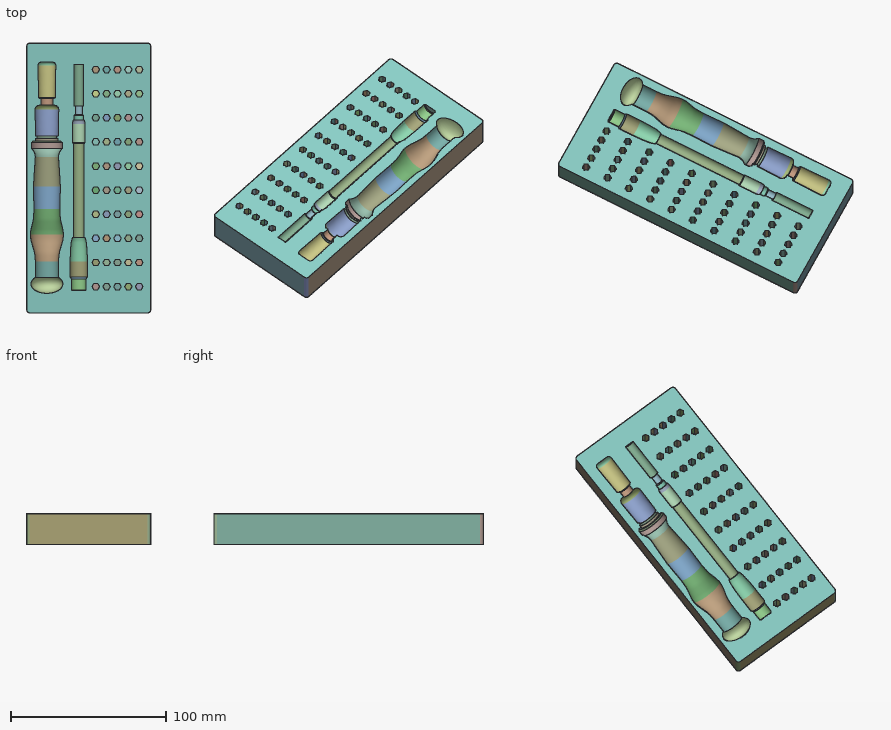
import cadquery as cq
import math

width = 80.0
length = 174.0
height = 20.0
corner_radius = 2.1

hole_flats = 4.2
hole_depth = 14.0
hole_columns = 5
hole_rows = 10
first_column_x = 4.5
last_column_x = 32.5
last_row_y = 70.0

driver_axis_x = -27.0
extension_axis_x = -6.5

tip_radius = 5.7
tip_base_radius = 5.4
neck_radius = 3.8
ferrule_radius = 7.7
ferrule_base_radius = 7.3
collar_radius = 10.0
grip_waist_radius = 7.5
pommel_radius = 10.3

tip_y = 74.8
tip_base_y = 51.3
ferrule_y = 47.0
ferrule_base_y = 27.1
collar_y = 23.8
collar_base_y = 19.1
grip_y = 13.5
grip_base_y = -54.0
pommel_widest_y = -68.2
driver_end_y = -74.3

rod_diameter = 6.1
rod_radius = rod_diameter / 2
rod_neck_radius = 2.3
sleeve_radius = 4.0
shaft_radius = 3.5
socket_mouth_radius = 5.0
socket_radius = 5.5
stub_radius = 4.7

rod_y = 73.0
rod_neck_y = 46.6
ring_y = 41.0
sleeve_y = 37.4
shaft_y = 22.5
socket_y = -38.3
stub_y = -64.9
extension_end_y = -72.5


def make_block():
    block = cq.Workplane("XY").box(width, length, height, centered=(True, True, False))
    return block.edges("|Z").fillet(corner_radius)


def make_bit_holes():
    column_pitch = (last_column_x - first_column_x) / (hole_columns - 1)
    row_pitch = 2 * last_row_y / (hole_rows - 1)
    across_corners = hole_flats / math.cos(math.radians(30))
    centres = [
        (first_column_x + column * column_pitch, row * row_pitch - last_row_y)
        for column in range(hole_columns)
        for row in range(hole_rows)
    ]
    top = cq.Workplane("XY", origin=(0, 0, height))
    return top.pushPoints(centres).polygon(6, across_corners).extrude(-hole_depth)


def turn_about_axis(half_profile, axis_x):
    """Revolve a half profile (radius, Y) and lay its axis in the top face."""
    solid = half_profile.close().revolve(360, (0, 0, 0), (0, 1, 0))
    return solid.translate((axis_x, 0, height))


def make_driver():
    tip_round = 2.3
    tip_chamfer = 0.7
    ferrule_round = 3.0
    groove_radius = 6.3
    groove_y = 26.5
    flange_y = 25.5
    collar_chamfer = 1.0
    pommel_half_length = pommel_widest_y - driver_end_y
    join_angle = math.acos(grip_waist_radius / pommel_radius)
    pommel_y = pommel_widest_y + pommel_half_length * math.sin(join_angle)
    collar_flare = (8.2, 16.7)
    grip_stretches = [
        ((8.0, 5.2), (8.7, -5.5)),
        ((8.5, -13.0), (8.3, -20.0)),
        ((9.0, -28.2), (10.6, -36.5)),
        ((8.7, -45.2), (grip_waist_radius, grip_base_y)),
    ]
    profile = (
        cq.Workplane("XY")
        .moveTo(0, tip_y)
        .lineTo(tip_radius - tip_round, tip_y)
        .tangentArcPoint((tip_radius, tip_y - tip_round), relative=False)
        .lineTo(tip_base_radius, tip_base_y + tip_chamfer)
        .lineTo(tip_base_radius - tip_chamfer, tip_base_y)
        .lineTo(neck_radius, tip_base_y)
        .lineTo(neck_radius, ferrule_y)
        .lineTo(ferrule_radius - ferrule_round, ferrule_y)
        .tangentArcPoint((ferrule_radius, ferrule_y - ferrule_round), relative=False)
        .lineTo(ferrule_base_radius, ferrule_base_y)
        .threePointArc((groove_radius, groove_y), (ferrule_base_radius, flange_y))
        .lineTo(ferrule_base_radius, collar_y)
        .lineTo(collar_radius - collar_chamfer, collar_y)
        .lineTo(collar_radius, collar_y - collar_chamfer)
        .lineTo(collar_radius, collar_base_y)
        .threePointArc(collar_flare, (grip_waist_radius, grip_y))
    )
    along_axis = (0, -1)
    for via, end in grip_stretches:
        profile = profile.spline([via, end], tangents=[along_axis, along_axis], includeCurrent=True)
    profile = (
        profile
        .lineTo(grip_waist_radius, pommel_y)
        .ellipseArc(pommel_radius, pommel_half_length, -90, math.degrees(join_angle), sense=-1)
    )
    return turn_about_axis(profile, driver_axis_x)


def make_extension():
    ring_chamfer = 0.7
    sleeve_round_length = 2.8
    sleeve_chamfer = 0.3
    socket_lip = 0.5
    socket_mouth_length = 4.3
    socket_taper_length = 15.7
    socket_chamfer = 1.0
    stub_chamfer = 0.5
    socket_mouth = (socket_mouth_radius, socket_y - socket_mouth_length)
    socket_widest = (socket_radius, socket_y - socket_taper_length)
    sleeve_shoulder = (sleeve_radius, sleeve_y - sleeve_round_length)
    profile = (
        cq.Workplane("XY")
        .moveTo(0, rod_y)
        .lineTo(rod_radius, rod_y)
        .lineTo(rod_radius, rod_neck_y)
        .lineTo(rod_neck_radius, rod_neck_y)
        .lineTo(rod_neck_radius, ring_y)
        .lineTo(rod_radius - ring_chamfer, ring_y)
        .lineTo(rod_radius, ring_y - ring_chamfer)
        .lineTo(rod_radius, sleeve_y)
        .lineTo(shaft_radius, sleeve_y)
        .spline([sleeve_shoulder], tangents=[(0.5, -1), (0, -1)], includeCurrent=True)
        .lineTo(sleeve_radius, shaft_y + sleeve_chamfer)
        .lineTo(sleeve_radius - sleeve_chamfer, shaft_y)
        .lineTo(shaft_radius, shaft_y)
        .lineTo(shaft_radius, socket_y)
        .lineTo(shaft_radius + socket_lip, socket_y)
        .spline(
            [socket_mouth, socket_widest],
            tangents=[(0.4, -1), (0.1, -1), (0, -1)],
            includeCurrent=True,
        )
        .lineTo(socket_radius, stub_y + socket_chamfer)
        .lineTo(stub_radius, stub_y)
        .lineTo(stub_radius, extension_end_y + stub_chamfer)
        .lineTo(stub_radius - stub_chamfer, extension_end_y)
        .lineTo(0, extension_end_y)
    )
    return turn_about_axis(profile, extension_axis_x)


result = make_block().cut(make_bit_holes()).cut(make_driver()).cut(make_extension())